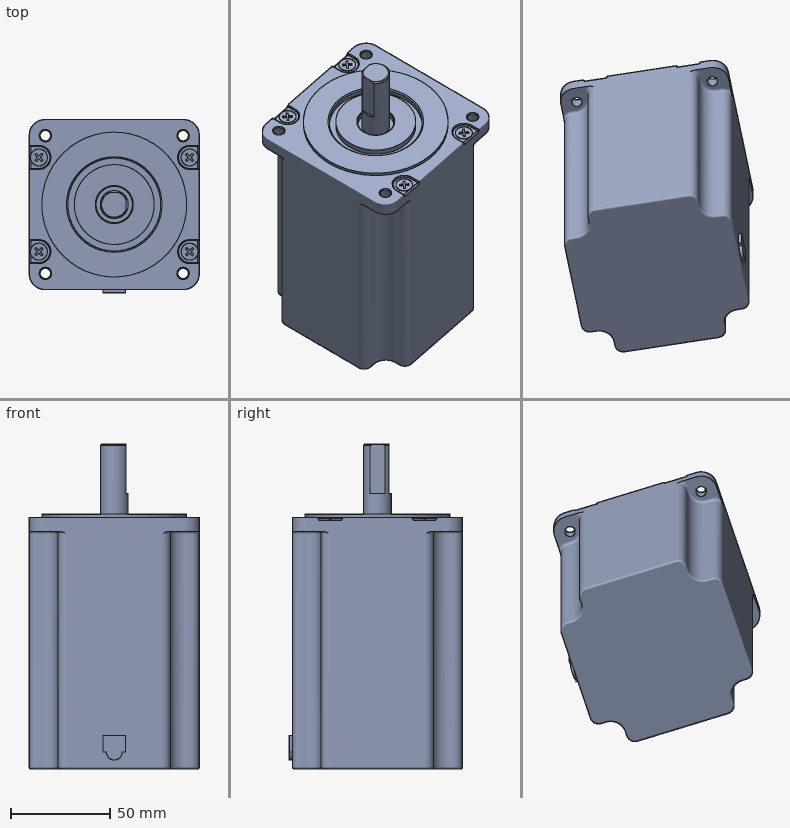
import cadquery as cq
import math

total_height = 164.0
body_height = 127.1
flange_underside = 120.0
pilot_height = 1.6
pilot_top = body_height + pilot_height

body_width = 86.0
half_width = body_width / 2
flange_corner_radius = 8.0
flange_edge_round = 0.25
rear_edge_round = 1.0

hole_offset = 34.8
hole_radius = 2.6
hole_chamfer = 0.5
relief_center = 36.0
relief_radius = 7.7
relief_edge_radius = 4.5
relief_root_round = 1.5
cutter_margin = 8.2

pilot_radius = 36.5
groove_outer_radius = 23.5
groove_inner_radius = 20.2
groove_depth = 3.0
groove_edge_chamfer = 0.7
shaft_bore_radius = 9.2
shaft_bore_chamfer = 0.41
shaft_bore_depth = 3.0

shaft_radius = 7.0
shaft_flat_distance = 5.99
shaft_flat_start = 139.0
shaft_end_chamfer = 0.7

screw_x = 38.0
screw_y = 23.8
pocket_radius = 5.5
pocket_depth = 0.8
pocket_edge_chamfer = 0.5
pocket_lip_chamfer = 0.8
pocket_flare = 0.7
screw_head_radius = 4.3
screw_head_height = 0.25
cross_length = 5.0
cross_width = 1.0
cross_depth = 0.41

outlet_width = 11.5
outlet_top = 17.0
outlet_shoulder = 8.5
outlet_round_radius = 4.0
outlet_protrusion = 1.6

corner_signs = [(sx, sy) for sx in (-1, 1) for sy in (-1, 1)]


def square_body():
    body = cq.Workplane("XY").rect(body_width, body_width).extrude(body_height)
    return body.edges("|Z").fillet(flange_corner_radius)


def corner_relief():
    """Cutter for the +X +Y corner; its upper wall edge is rounded to leave a root fillet."""
    inner = relief_center - relief_radius
    edge_start = inner - relief_edge_radius
    edge_end = half_width - relief_edge_radius
    outside = half_width + cutter_margin
    edge_diagonal = relief_edge_radius * math.sqrt(0.5)
    relief_diagonal = relief_radius * math.sqrt(0.5)
    profile = (
        cq.Workplane("XY")
        .workplane(offset=-cutter_margin)
        .moveTo(edge_start, outside)
        .lineTo(edge_start, half_width)
        .threePointArc((edge_start + edge_diagonal, edge_end + edge_diagonal), (inner, edge_end))
        .lineTo(inner, relief_center)
        .threePointArc(
            (relief_center - relief_diagonal, relief_center - relief_diagonal),
            (relief_center, inner),
        )
        .lineTo(edge_end, inner)
        .threePointArc((edge_end + edge_diagonal, edge_start + edge_diagonal), (half_width, edge_start))
        .lineTo(outside, edge_start)
        .lineTo(outside, outside)
        .close()
    )
    cutter = profile.extrude(flange_underside + cutter_margin)
    wall_edges = cq.selectors.BoxSelector((0, 0, 0), (half_width, half_width, body_height))
    return cutter.faces(">Z").edges(wall_edges).fillet(relief_root_round)


def disk(radius, bottom, top):
    return cq.Workplane("XY").workplane(offset=bottom).circle(radius).extrude(top - bottom)


def chamfered_bore(radius, bottom, top, chamfer):
    """Cutter for a round hole whose mouth at the top is chamfered."""
    mouth = radius + chamfer
    section = (
        cq.Workplane("XZ")
        .moveTo(0, bottom)
        .lineTo(radius, bottom)
        .lineTo(radius, top - chamfer)
        .lineTo(mouth, top)
        .lineTo(0, top)
        .close()
    )
    return section.revolve(360, (0, 0, 0), (0, 1, 0))


def pilot_groove():
    floor = pilot_top - groove_depth
    outer = chamfered_bore(groove_outer_radius, floor, pilot_top, groove_edge_chamfer)
    return outer.cut(disk(groove_inner_radius, floor, pilot_top))


def shaft():
    rod = disk(shaft_radius, pilot_top - shaft_bore_depth, total_height)
    rod = rod.faces(">Z").edges().chamfer(shaft_end_chamfer)
    flat_cutter = (
        cq.Workplane("XY")
        .workplane(offset=shaft_flat_start)
        .center(shaft_flat_distance + shaft_radius / 2, 0)
        .rect(shaft_radius, 2 * shaft_radius)
        .extrude(total_height - shaft_flat_start)
    )
    for angle in (0, 90):
        rod = rod.cut(flat_cutter.rotate((0, 0, 0), (0, 0, 1), angle))
    return rod


def screw_pocket():
    """Pocket cutter centred on a screw at the origin, open toward -X."""
    floor = body_height - pocket_depth
    open_length = half_width - screw_x
    straight_length = open_length + cutter_margin
    round_end = chamfered_bore(pocket_radius, floor, body_height, pocket_edge_chamfer)
    mouth = pocket_radius + pocket_edge_chamfer
    straight = (
        cq.Workplane("YZ")
        .moveTo(-pocket_radius, floor)
        .lineTo(pocket_radius, floor)
        .lineTo(pocket_radius, body_height - pocket_edge_chamfer)
        .lineTo(mouth, body_height)
        .lineTo(-mouth, body_height)
        .lineTo(-pocket_radius, body_height - pocket_edge_chamfer)
        .close()
        .extrude(-straight_length)
    )
    lip = (
        cq.Workplane("XZ")
        .moveTo(-open_length, floor)
        .lineTo(-open_length + pocket_lip_chamfer, floor)
        .lineTo(-open_length, floor - pocket_lip_chamfer)
        .close()
        .extrude(pocket_radius, both=True)
    )
    flare = (
        cq.Workplane("XY")
        .workplane(offset=floor)
        .moveTo(-open_length, -pocket_radius - pocket_flare)
        .lineTo(-open_length + pocket_flare, -pocket_radius)
        .lineTo(-open_length + pocket_flare, pocket_radius)
        .lineTo(-open_length, pocket_radius + pocket_flare)
        .close()
        .extrude(pocket_depth)
    )
    return round_end.union(straight).union(lip).union(flare)


def screw_head():
    floor = body_height - pocket_depth
    top = floor + screw_head_height
    head = disk(screw_head_radius, floor - pocket_lip_chamfer, top)
    arm = cq.Workplane("XY").box(cross_length, cross_width, 2 * cross_depth).translate((0, 0, top))
    for angle in (45, -45):
        head = head.cut(arm.rotate((0, 0, 0), (0, 0, 1), angle))
    return head


def cable_outlet():
    plate = (
        cq.Workplane("XZ", origin=(0, -half_width, 0))
        .moveTo(-outlet_width / 2, outlet_top)
        .lineTo(-outlet_width / 2, outlet_shoulder)
        .lineTo(-outlet_round_radius, outlet_shoulder)
        .threePointArc((0, outlet_shoulder - outlet_round_radius), (outlet_round_radius, outlet_shoulder))
        .lineTo(outlet_width / 2, outlet_shoulder)
        .lineTo(outlet_width / 2, outlet_top)
        .close()
    )
    return plate.extrude(outlet_protrusion)


result = square_body()
result = result.faces(">Z").edges().fillet(flange_edge_round)
relief = corner_relief()
for quarter in range(4):
    result = result.cut(relief.rotate((0, 0, 0), (0, 0, 1), 90 * quarter))
result = result.faces("<Z").edges().fillet(rear_edge_round)

mounting_hole = chamfered_bore(hole_radius, 0, body_height, hole_chamfer)
pocket = screw_pocket()
screw = screw_head()
for sx, sy in corner_signs:
    result = result.cut(mounting_hole.translate((sx * hole_offset, sy * hole_offset, 0)))
    screw_place = (sx * screw_x, sy * screw_y, 0)
    pocket_turn = 0 if sx < 0 else 180
    result = result.cut(pocket.rotate((0, 0, 0), (0, 0, 1), pocket_turn).translate(screw_place))
    result = result.union(screw.translate(screw_place))

result = result.union(disk(pilot_radius, body_height, pilot_top))
result = result.cut(pilot_groove())
shaft_bore_bottom = pilot_top - shaft_bore_depth
result = result.cut(chamfered_bore(shaft_bore_radius, shaft_bore_bottom, pilot_top, shaft_bore_chamfer))
result = result.union(shaft())
result = result.union(cable_outlet())